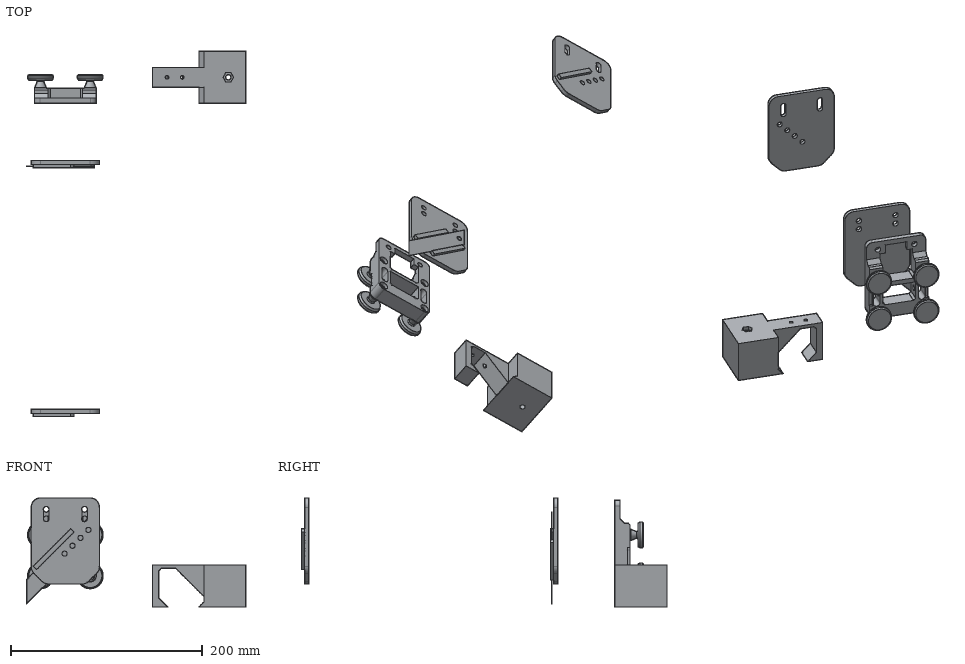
import cadquery as cq
import math

TOTAL_WIDTH = 229.0
TOTAL_DEPTH = 381.5
TOTAL_HEIGHT = 114.0
LEFT_X = -TOTAL_WIDTH / 2
RIGHT_X = TOTAL_WIDTH / 2
FRONT_Y = -TOTAL_DEPTH / 2
BACK_Y = TOTAL_DEPTH / 2
TOP_Z = TOTAL_HEIGHT / 2
BASE_Z = -TOTAL_HEIGHT / 2
TOOL_X = -74.0
DIAGONAL = math.sqrt(0.5)

PLATE_WIDTH = 71.5
PLATE_HEIGHT = 90.0
PLATE_THICK = 4.5
PLATE_CHAMFER = 14.0
PLATE_ROUND = 10.0
COVER_TO_CARRIER = 260.0

RAIL_LENGTH = 55.5
RAIL_WIDTH = 5.0
RAIL_HEIGHT = 3.25
RAIL_X = -86.2
RAIL_Z = 3.5
LOWER_RAIL_SHIFT = 7.2
COVER_FRONT_Y = FRONT_Y + RAIL_HEIGHT
CARRIER_FRONT_Y = COVER_FRONT_Y + COVER_TO_CARRIER

FIX_SPACING = 40.0
FIX_HOLE_DIA = 5.7
FIX_TOP_Z = 45.0
FIX_TRAVEL = 10.0
SLOT_WIDTH = 5.7

BLADE_WIDTH = 18.0
BLADE_THICK = 0.5
BLADE_GAP = 1.5
BLADE_END_X = -44.0
BLADE_HOLE_DIA = 5.5
BLADE_HOLE_X = -50.0
BLADE_HOLE_Z = BLADE_HOLE_X + RAIL_Z - RAIL_X - (RAIL_WIDTH + BLADE_WIDTH) / 2 / DIAGONAL
BLADE_STEPS = 4
BLADE_HOLE_RUN = 24.8
BLADE_STEP = BLADE_HOLE_RUN / (BLADE_STEPS - 1)

FRAME_FRONT_Y = 136.2
FRAME_WIDTH = 65.0
FRAME_TOP_Z = 54.5
FRAME_BOTTOM_Z = -31.0
FRAME_THICK = 16.0
FLANGE_THICK = 5.7
FRAME_STEP_Z = 30.5
STEP_CHAMFER = 4.5
BACK_CHAMFER = 2.0
FRAME_TOP_ROUND = 6.0
FRAME_BOTTOM_ROUND = 7.0
KNOB_INSET = 6.5
KNOB_RISE = 42.7
FRAME_LEFT = TOOL_X - FRAME_WIDTH / 2
FRAME_RIGHT = TOOL_X + FRAME_WIDTH / 2
FRAME_BACK_Y = FRAME_FRONT_Y + FRAME_THICK
KNOB_XS = (FRAME_LEFT + KNOB_INSET, FRAME_RIGHT - KNOB_INSET)
KNOB_ZS = (FRAME_BOTTOM_Z + KNOB_INSET, FRAME_BOTTOM_Z + KNOB_INSET + KNOB_RISE)

WINDOW_WIDTH = 36.0
WINDOW_CHAMFER = 2.3
UPPER_WINDOW_BOTTOM = 10.5
UPPER_WINDOW_TOP = 39.5
NOTCH_WIDTH = 24.0
NOTCH_TOP = 49.2
LOWER_WINDOW_BOTTOM = -16.0
LOWER_WINDOW_TOP = 5.7

SCREW_HEAD_DIA = 9.0
SCREW_HEAD_DEPTH = 4.0
SCREW_DIA = 5.7

GUIDE_INSET = 7.5
GUIDE_WIDTH = 7.2
GUIDE_LENGTH = 22.5
GUIDE_Z = -5.0
GUIDE_PORT_DIA = 5.7
GUIDE_PORT_DEPTH = 9.5
SIDE_NOTCH_WIDTH = 3.5
SIDE_NOTCH_DEPTH = 2.85
SIDE_NOTCH_LENGTH = 20.0

KNOB_DIA = 27.0
KNOB_THICK = 6.0
KNOB_BEVEL = 1.35
KNOB_NEAR_BEVEL = 2.3
KNOB_LENGTH = 14.0
KNOB_HUB_DIA = 9.0
KNOB_WAIST_DIA = 7.0
KNOB_WAIST = 7.0
KNOB_FOOT_DIA = 12.2
KNOB_FOOT_THICK = 0.8

BRACKET_DEPTH = 54.5
BRACKET_FRONT_Y = BACK_Y - BRACKET_DEPTH
BRACKET_TOP_Z = -13.0
BRACKET_LEFT_X = 16.8
BLOCK_X = 70.5
ARM_DEPTH = 21.0
ARM_THICK = 3.62
FOOT_WALL = 7.0
FOOT_LIP = 9.5
BLOCK_LIP = 5.5
ARM_CORNER = 2.5
BRACE_X = 41.2
PILOT_DIA = 3.6
PILOT_XS = (32.0, 48.0)
PILOT_DEPTH = 2 * ARM_THICK
NUT_X = 96.0
NUT_FLATS = 9.5
NUT_DEPTH = 4.0
BOLT_DIA = 5.5


def front_sketch(front_y):
    """Workplane in X and Z at the given Y."""
    return cq.Workplane("XZ", origin=(0, front_y, 0))


def extrude_back(sketch, depth):
    """Extrude a front sketch toward +Y."""
    return sketch.extrude(-depth)


def hole_along_y(x, z, dia, front_y, depth):
    return extrude_back(front_sketch(front_y).center(x, z).circle(dia / 2), depth)


def box_between(x0, x1, y0, y1, z0, z1):
    return cq.Workplane("XY").box(x1 - x0, y1 - y0, z1 - z0, centered=False).translate((x0, y0, z0))


def fixing_xs():
    return (TOOL_X - FIX_SPACING / 2, TOOL_X + FIX_SPACING / 2)


def plate_body(front_y):
    left = TOOL_X - PLATE_WIDTH / 2
    right = TOOL_X + PLATE_WIDTH / 2
    bottom = TOP_Z - PLATE_HEIGHT
    outline = [
        (left, TOP_Z),
        (right, TOP_Z),
        (right, bottom + PLATE_CHAMFER),
        (right - PLATE_CHAMFER, bottom),
        (left + PLATE_CHAMFER, bottom),
        (left, bottom + PLATE_CHAMFER),
    ]
    body = extrude_back(front_sketch(front_y).polyline(outline).close(), PLATE_THICK)
    return body.edges("|Y").fillet(PLATE_ROUND)


def rail(x, z, front_y):
    bar = front_sketch(front_y).center(x, z).transformed(rotate=(0, 0, 45)).rect(RAIL_LENGTH, RAIL_WIDTH)
    return bar.extrude(RAIL_HEIGHT)


def make_cover():
    cover = plate_body(COVER_FRONT_Y).union(rail(RAIL_X, RAIL_Z, COVER_FRONT_Y))
    slot_z = FIX_TOP_Z - FIX_TRAVEL / 2
    for x in fixing_xs():
        slot = front_sketch(COVER_FRONT_Y).center(x, slot_z).slot2D(FIX_TRAVEL + SLOT_WIDTH, SLOT_WIDTH, 90)
        cover = cover.cut(extrude_back(slot, PLATE_THICK))
    for i in range(BLADE_STEPS):
        x = BLADE_HOLE_X - i * BLADE_STEP
        z = BLADE_HOLE_Z - i * BLADE_STEP
        cover = cover.cut(hole_along_y(x, z, BLADE_HOLE_DIA, COVER_FRONT_Y, PLATE_THICK))
    return cover


def make_carrier():
    rail_gap = RAIL_WIDTH + BLADE_WIDTH
    lower_x = RAIL_X + (rail_gap + LOWER_RAIL_SHIFT) * DIAGONAL
    lower_z = RAIL_Z - (rail_gap - LOWER_RAIL_SHIFT) * DIAGONAL
    carrier = plate_body(CARRIER_FRONT_Y)
    carrier = carrier.union(rail(RAIL_X, RAIL_Z, CARRIER_FRONT_Y))
    carrier = carrier.union(rail(lower_x, lower_z, CARRIER_FRONT_Y))
    for x in fixing_xs():
        for z in (FIX_TOP_Z, FIX_TOP_Z - FIX_TRAVEL):
            carrier = carrier.cut(hole_along_y(x, z, FIX_HOLE_DIA, CARRIER_FRONT_Y, PLATE_THICK))
    return carrier


def make_blade():
    upper = RAIL_Z - RAIL_X - RAIL_WIDTH / 2 / DIAGONAL
    lower = upper - BLADE_WIDTH / DIAGONAL
    outline = [
        (LEFT_X, LEFT_X + lower),
        (BLADE_END_X, BLADE_END_X + lower),
        (BLADE_END_X, BLADE_END_X + upper),
        (LEFT_X, LEFT_X + upper),
    ]
    back_y = CARRIER_FRONT_Y - BLADE_GAP
    blade = front_sketch(back_y).polyline(outline).close().extrude(BLADE_THICK)
    hole = front_sketch(back_y).center(BLADE_HOLE_X, BLADE_HOLE_Z).circle(BLADE_HOLE_DIA / 2)
    return blade.cut(hole.extrude(BLADE_THICK))


def frame_blank():
    flange_back = FRAME_FRONT_Y + FLANGE_THICK
    profile = [
        (FRAME_FRONT_Y, FRAME_BOTTOM_Z),
        (FRAME_BACK_Y, FRAME_BOTTOM_Z),
        (FRAME_BACK_Y, FRAME_STEP_Z - BACK_CHAMFER),
        (FRAME_BACK_Y - BACK_CHAMFER, FRAME_STEP_Z),
        (flange_back + STEP_CHAMFER, FRAME_STEP_Z),
        (flange_back, FRAME_STEP_Z + STEP_CHAMFER),
        (flange_back, FRAME_TOP_Z),
        (FRAME_FRONT_Y, FRAME_TOP_Z),
    ]
    blank = cq.Workplane("YZ", origin=(FRAME_LEFT, 0, 0)).polyline(profile).close().extrude(FRAME_WIDTH)
    blank = blank.edges("|Y and >Z").fillet(FRAME_TOP_ROUND)
    return blank.edges("|Y and <Z").fillet(FRAME_BOTTOM_ROUND)


def window(bottom, top):
    left = TOOL_X - WINDOW_WIDTH / 2
    opening = box_between(left, left + WINDOW_WIDTH, FRAME_FRONT_Y, FRAME_BACK_Y, bottom, top)
    return opening.edges("|Y and <Z").chamfer(WINDOW_CHAMFER)


def window_notch():
    left = TOOL_X - NOTCH_WIDTH / 2
    right = TOOL_X + NOTCH_WIDTH / 2
    return box_between(left, right, FRAME_FRONT_Y, FRAME_BACK_Y, UPPER_WINDOW_TOP, NOTCH_TOP)


def guide_cut(side):
    guide_x = TOOL_X + side * (FRAME_WIDTH / 2 - GUIDE_INSET)
    slot = front_sketch(FRAME_FRONT_Y).center(guide_x, GUIDE_Z).slot2D(GUIDE_LENGTH, GUIDE_WIDTH, 90)
    port = cq.Workplane("YZ", origin=(TOOL_X, FRAME_FRONT_Y + GUIDE_PORT_DEPTH, GUIDE_Z))
    port = port.circle(GUIDE_PORT_DIA / 2).extrude(guide_x - TOOL_X)
    return extrude_back(slot, FRAME_THICK).union(port)


def side_notch(side):
    outer = TOOL_X + side * FRAME_WIDTH / 2
    inner = outer - side * SIDE_NOTCH_WIDTH
    return box_between(min(outer, inner), max(outer, inner), FRAME_BACK_Y - SIDE_NOTCH_DEPTH, FRAME_BACK_Y,
                       GUIDE_Z - SIDE_NOTCH_LENGTH / 2, GUIDE_Z + SIDE_NOTCH_LENGTH / 2)


def make_frame():
    frame = frame_blank()
    frame = frame.cut(window(LOWER_WINDOW_BOTTOM, LOWER_WINDOW_TOP))
    frame = frame.cut(window(UPPER_WINDOW_BOTTOM, UPPER_WINDOW_TOP))
    frame = frame.cut(window_notch())
    for x in fixing_xs():
        frame = frame.cut(hole_along_y(x, FIX_TOP_Z, FIX_HOLE_DIA, FRAME_FRONT_Y, FRAME_THICK))
    for x in KNOB_XS:
        for z in KNOB_ZS:
            frame = frame.cut(hole_along_y(x, z, SCREW_HEAD_DIA, FRAME_FRONT_Y, SCREW_HEAD_DEPTH))
            frame = frame.cut(hole_along_y(x, z, SCREW_DIA, FRAME_FRONT_Y, FRAME_THICK))
    for side in (-1, 1):
        frame = frame.cut(guide_cut(side)).cut(side_notch(side))
    return frame


def make_knob(x, z):
    rim_start = KNOB_LENGTH - KNOB_THICK
    profile = [
        (0, 0),
        (KNOB_FOOT_DIA / 2, 0),
        (KNOB_FOOT_DIA / 2, KNOB_FOOT_THICK),
        (KNOB_WAIST_DIA / 2, KNOB_WAIST),
        (KNOB_HUB_DIA / 2, rim_start),
        (KNOB_DIA / 2 - KNOB_BEVEL, rim_start),
        (KNOB_DIA / 2, rim_start + KNOB_NEAR_BEVEL),
        (KNOB_DIA / 2, KNOB_LENGTH - KNOB_BEVEL),
        (KNOB_DIA / 2 - KNOB_BEVEL, KNOB_LENGTH),
        (0, KNOB_LENGTH),
    ]
    knob = cq.Workplane("XY").polyline(profile).close().revolve(360, (0, 0, 0), (0, 1, 0))
    return knob.translate((x, FRAME_BACK_Y, z))


def make_bracket():
    arm_under = BRACKET_TOP_Z - ARM_THICK
    foot_x = BRACKET_LEFT_X + FOOT_WALL
    mid_y = BRACKET_FRONT_Y + BRACKET_DEPTH / 2
    arm_profile = [
        (BRACKET_LEFT_X, BASE_Z),
        (foot_x + FOOT_LIP, BASE_Z),
        (foot_x, BASE_Z + FOOT_LIP),
        (foot_x, arm_under - ARM_CORNER),
        (foot_x + ARM_CORNER, arm_under),
        (BRACE_X, arm_under),
        (BLOCK_X, arm_under - (BLOCK_X - BRACE_X)),
        (BLOCK_X, BRACKET_TOP_Z),
        (BRACKET_LEFT_X, BRACKET_TOP_Z),
    ]
    block_profile = [
        (BLOCK_X - BLOCK_LIP, BASE_Z),
        (RIGHT_X, BASE_Z),
        (RIGHT_X, BRACKET_TOP_Z),
        (BLOCK_X, BRACKET_TOP_Z),
        (BLOCK_X, BASE_Z + BLOCK_LIP),
    ]
    arm = extrude_back(front_sketch(mid_y - ARM_DEPTH / 2).polyline(arm_profile).close(), ARM_DEPTH)
    block = extrude_back(front_sketch(BRACKET_FRONT_Y).polyline(block_profile).close(), BRACKET_DEPTH)
    bracket = block.union(arm)
    top = cq.Workplane("XY", origin=(0, mid_y, BRACKET_TOP_Z))
    for x in PILOT_XS:
        bracket = bracket.cut(top.center(x, 0).circle(PILOT_DIA / 2).extrude(-(PILOT_DEPTH + ARM_THICK)))
    nut = top.center(NUT_X, 0).polygon(6, NUT_FLATS / math.cos(math.pi / 6)).extrude(-NUT_DEPTH)
    bolt = top.center(NUT_X, 0).circle(BOLT_DIA / 2).extrude(BASE_Z - BRACKET_TOP_Z)
    return bracket.cut(nut).cut(bolt)


bracket = make_bracket()
frame = make_frame()
knobs = [make_knob(x, z) for x in KNOB_XS for z in KNOB_ZS]
carrier = make_carrier()
blade = make_blade()
cover = make_cover()

result = cq.Compound.makeCompound(
    [bracket.val(), frame.val(), *[knob.val() for knob in knobs], carrier.val(), blade.val(), cover.val()]
)